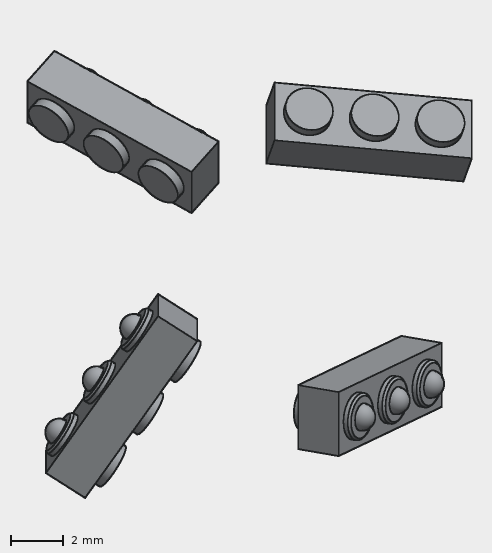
import cadquery as cq

pin_count = 3
housing_length = 7.62
pitch = housing_length / pin_count
housing_height = pitch
housing_depth = 1.8

pin_diameter = 1.83
pin_radius = pin_diameter / 2
front_protrusion = 0.405
rear_protrusion = 0.28
rear_chamfer = 0.09
tip_radius = 0.53
tip_height = 0.495

pin_front = -front_protrusion
pin_shoulder = housing_depth + rear_protrusion
tip_end = pin_shoulder + tip_height
tip_center = tip_end - tip_radius

pin_positions = [(i - (pin_count - 1) / 2) * pitch for i in range(pin_count)]


def make_housing():
    """Bar with a through hole along Y for every pin."""
    bar = cq.Workplane("XY").box(
        housing_length, housing_depth, housing_height, centered=(True, False, True)
    )
    for x in pin_positions:
        hole = cq.Workplane("XZ", origin=(x, 0, 0)).circle(pin_radius).extrude(-housing_depth)
        bar = bar.cut(hole)
    return bar


def make_pin(x):
    """Cylinder with a chamfered rear edge and a ball-shaped tip."""
    body = (
        cq.Workplane("XZ", origin=(x, pin_front, 0))
        .circle(pin_radius)
        .extrude(pin_front - pin_shoulder)
        .faces(">Y")
        .chamfer(rear_chamfer)
    )
    ball = cq.Workplane("XY", origin=(x, tip_center, 0)).sphere(tip_radius)
    return body.union(ball)


housing = make_housing()
pins = [make_pin(x) for x in pin_positions]

result = cq.Compound.makeCompound([housing.val(), *[pin.val() for pin in pins]])